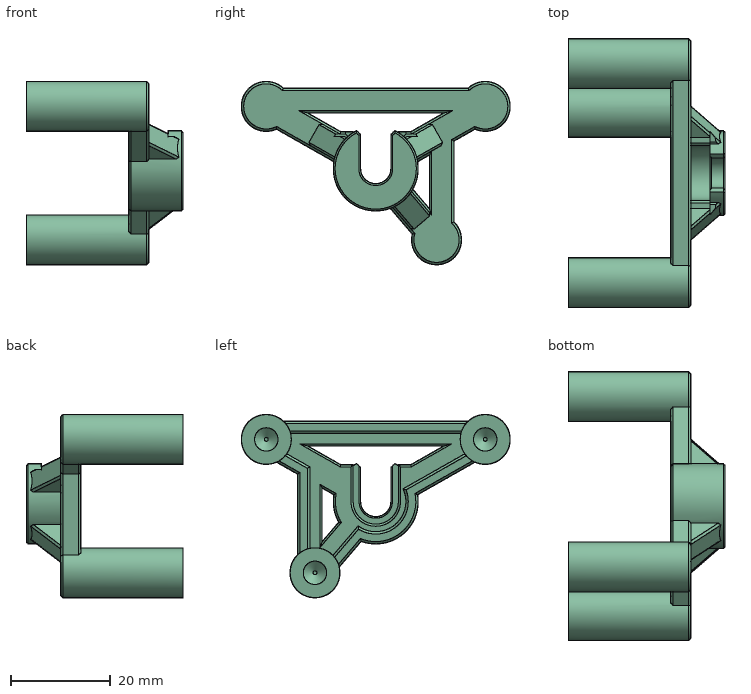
import cadquery as cq
import math

total_length = 31.4
post_length = 24.55
post_radius = 5.0
hole_radius = 2.34
hole_depth = 20.0
hole_tip_radius = 0.4
hole_tip_length = 1.4

post_spacing = 43.8
upper_post_z = 12.45
lower_post_y = 12.15
post_height_gap = 26.7
left_post = (post_spacing / 2, upper_post_z)
right_post = (-post_spacing / 2, upper_post_z)
lower_post = (lower_post_y, upper_post_z - post_height_gap)
posts = (left_post, right_post, lower_post)

frame_thickness = 4.1
rim_height = 1.0
rim_width = 2.5
frame_chamfer = 0.5
web_chamfer = 0.45
arm_half_width = 2.95
top_bar_z = 16.1
top_bar_inner_z = 11.1
side_bar_y = 15.65
side_bar_inner_y = 10.7

hub_radius = 8.5
hub_top_z = 7.4
hub_chamfer = 0.4
mouth_radius = 4.5
pocket_radius = 5.5
pocket_lead_in = 0.55
seat_thickness = 3.0
slot_radius = 3.0
slot_chamfer = 0.3
slot_lead_in = 0.8

brace_foot = 14.2
brace_chamfer = 0.45

frame_back = post_length
frame_front = frame_back - frame_thickness
web_front = frame_front + rim_height
hub_start = frame_back - frame_chamfer
seat_front = total_length - seat_thickness
brace_end = total_length - hub_chamfer
brace_half_width = arm_half_width - frame_chamfer
shoulder_z = hub_top_z - frame_chamfer
brace_tip_z = shoulder_z - frame_chamfer
slot_lip_z = math.sqrt(hub_radius**2 - (slot_radius + slot_lead_in) ** 2)


def plane_at(x):
    """Plane across X; local x is +Y and local y is +Z."""
    return cq.Workplane("YZ", origin=(x, 0, 0))


def arm_length(post):
    return math.hypot(*post)


def arm_point(post, distance, side):
    """Point at a distance from the hub axis along an arm, moved to its left by side."""
    turn = math.atan2(post[1], post[0])
    y = distance * math.cos(turn) - side * math.sin(turn)
    z = distance * math.sin(turn) + side * math.cos(turn)
    return (y, z)


def arm_edge_at_y(post, side, y):
    """Point where an edge of an arm crosses a given Y."""
    turn = math.atan2(post[1], post[0])
    return (y, y * math.tan(turn) + side / math.cos(turn))


def arm_edge_at_z(post, side, z):
    """Point where an edge of an arm crosses a given height."""
    turn = math.atan2(post[1], post[0])
    return ((z - side / math.cos(turn)) / math.tan(turn), z)


def filled_outline(x_start, inset):
    """Solid up to the frame back, inside the outer boundary moved inward by inset."""
    half = arm_half_width - inset
    bar_y = side_bar_y - inset
    top_z = top_bar_z - inset
    depth = frame_back - x_start
    points = [
        (left_post[0] - inset, top_z),
        (right_post[0] + inset, top_z),
        arm_point(right_post, arm_length(right_post) - inset, half),
        arm_point(right_post, 0, half),
        arm_point(lower_post, 0, -half),
        arm_point(lower_post, arm_length(lower_post) - inset, -half),
        (bar_y, lower_post[1] + inset),
        arm_edge_at_y(left_post, -half, bar_y),
        arm_point(left_post, arm_length(left_post) - inset, -half),
    ]
    sheet = plane_at(x_start).polyline(points).close().extrude(depth)
    disc = plane_at(x_start).circle(hub_radius - inset).extrude(depth)
    return sheet.union(disc)


def upper_window():
    """Opening between the top bar, the two upper arms and the top of the hub."""
    left_edge = [
        arm_edge_at_z(left_post, arm_half_width, z) for z in (top_bar_inner_z, hub_top_z)
    ]
    right_edge = [(-y, z) for y, z in reversed(left_edge)]
    return plane_at(web_front).polyline(left_edge + right_edge).close().extrude(frame_thickness)


def side_window():
    """Opening between the side bar, the hub and the left and lower arms."""
    corners = [
        arm_point(left_post, 0, -arm_half_width),
        arm_edge_at_y(left_post, -arm_half_width, side_bar_inner_y),
        arm_edge_at_y(lower_post, arm_half_width, side_bar_inner_y),
        arm_point(lower_post, 0, arm_half_width),
    ]
    hub = plane_at(web_front).circle(hub_radius).extrude(frame_thickness)
    return plane_at(web_front).polyline(corners).close().extrude(frame_thickness).cut(hub)


def u_channel(x_start, x_end, radius, taper=0):
    """Channel with a round bottom on the hub axis, open towards +Z."""
    return (
        plane_at(x_start)
        .moveTo(radius, top_bar_inner_z)
        .lineTo(radius, 0)
        .threePointArc((0, -radius), (-radius, 0))
        .lineTo(-radius, top_bar_inner_z)
        .close()
        .extrude(x_end - x_start, taper=taper)
    )


def lead_in(x_start, x_end, radius, size, lip_z):
    """45 degree flare that widens the open end of a channel by size at height lip_z."""
    wide = radius + size
    points = [
        (radius, lip_z - size),
        (wide, lip_z),
        (wide, top_bar_inner_z),
        (-wide, top_bar_inner_z),
        (-wide, lip_z),
        (-radius, lip_z - size),
    ]
    return plane_at(x_start).polyline(points).close().extrude(x_end - x_start)


def make_frame():
    sheet = filled_outline(web_front, 0)
    web = sheet.cut(upper_window()).faces(">X").chamfer(frame_chamfer)
    web = web.intersect(sheet.cut(side_window()).faces(">X").chamfer(frame_chamfer))
    web = web.cut(u_channel(web_front, frame_back, mouth_radius))
    web = web.faces("<X").chamfer(web_chamfer)

    rim = filled_outline(frame_front, 0).faces(">X").chamfer(frame_chamfer)
    rim = rim.cut(filled_outline(frame_front, rim_width))
    rim = rim.faces("<X").chamfer(frame_chamfer)
    return web.union(rim)


def make_brace(post):
    """Prism along an arm whose bevelled end slopes at 45 degrees up to the hub end."""
    direction = arm_point(post, 1, 0)
    across = arm_point(post, 0, 1)
    profile_plane = cq.Plane(origin=(0, 0, 0), xDir=(1, 0, 0), normal=(0, *across))
    head = brace_foot - (brace_end - frame_back)
    points = [
        (hub_start, 0),
        (hub_start, brace_foot),
        (frame_back, brace_foot),
        (brace_end, head),
        (brace_end, 0),
    ]
    brace = cq.Workplane(profile_plane).polyline(points).close().extrude(brace_half_width, both=True)
    slope = cq.Vector(1, -direction[0], -direction[1])
    return brace.edges(cq.selectors.ParallelDirSelector(slope)).chamfer(brace_chamfer)


def brace_step():
    """Space above the lowered tips of the upper braces, beside the seat."""
    depth = total_length - seat_front
    width = post_spacing
    height = top_bar_inner_z - brace_tip_z
    return cq.Workplane("XY").box(depth, width, height, centered=(False, True, False)).translate(
        (seat_front, 0, brace_tip_z)
    )


def make_shoulder():
    """Fill between the two upper braces, up to the flat top of the pocket walls."""
    corner = arm_edge_at_z(left_post, brace_half_width, shoulder_z)
    points = [(0, 0), corner, (-corner[0], corner[1])]
    return plane_at(hub_start).polyline(points).close().extrude(seat_front - hub_start)


def make_pocket():
    pocket = u_channel(hub_start, seat_front, pocket_radius)
    return pocket.union(lead_in(hub_start, seat_front, pocket_radius, pocket_lead_in, shoulder_z))


def make_slot():
    slot = u_channel(seat_front, total_length, slot_radius)
    bevel = u_channel(seat_front, seat_front + slot_chamfer, slot_radius + slot_chamfer, taper=45)
    flare = lead_in(seat_front, total_length, slot_radius, slot_lead_in, slot_lip_z)
    return slot.union(flare).union(bevel)


def make_hub():
    """Disc with its braces, cut by the pocket and the narrower slot behind it."""
    hub = make_shoulder()
    for post in posts:
        hub = hub.union(make_brace(post))
    hub = hub.cut(brace_step())
    disc = plane_at(hub_start).circle(hub_radius).extrude(total_length - hub_start)
    disc = disc.cut(make_slot()).faces(">X").chamfer(hub_chamfer)
    return hub.union(disc).cut(make_pocket()).cut(make_slot())


def make_post(post):
    body = plane_at(0).center(*post).circle(post_radius).extrude(post_length)
    return body.faces(">X").chamfer(frame_chamfer)


def post_hole(post):
    """Blind hole from the -X end with a conical bottom."""
    tip_x = hole_depth + hole_tip_length
    profile = [
        (0, 0),
        (0, hole_radius),
        (hole_depth, hole_radius),
        (tip_x, hole_tip_radius),
        (tip_x, 0),
    ]
    hole = cq.Workplane("XY").polyline(profile).close().revolve(360, (0, 0, 0), (1, 0, 0))
    return hole.translate((0, *post))


result = make_frame().cut(make_pocket()).union(make_hub())
for post in posts:
    result = result.union(make_post(post))
for post in posts:
    result = result.cut(post_hole(post))